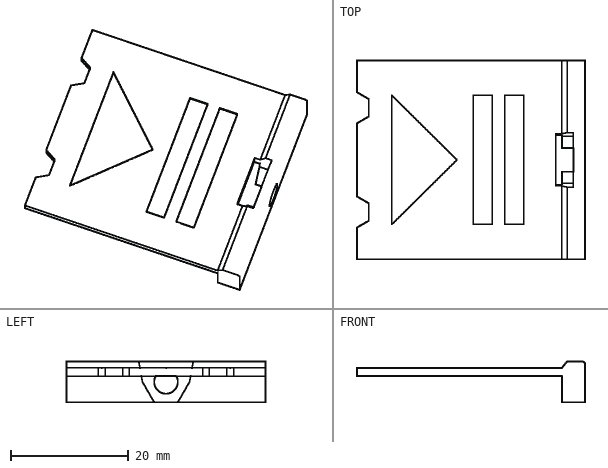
import cadquery as cq

LENGTH = 39.0
WIDTH = 34.0
HEIGHT = 7.0

PLATE_BOTTOM = 4.5
PLATE_THICKNESS = 1.4
PLATE_TOP = PLATE_BOTTOM + PLATE_THICKNESS
BAR_WIDTH = 4.0
BAR_START = LENGTH - BAR_WIDTH
RAMP_RUN = 0.9
EDGE_FILLET = 0.5

NOTCH_OFFSET = 8.9
NOTCH_DEPTH = 2.0
NOTCH_MOUTH = 5.3
NOTCH_FLOOR = 3.0

RECESS_DEPTH = 0.4
ARROW_BASE_X = 6.0
ARROW_LENGTH = 11.1
RECESS_SPAN = 22.0
STRIPE_WIDTH = 3.2
STRIPE_STARTS = (19.9, 25.3)

POCKET_START = 34.0
POCKET_LENGTH = 3.0
POCKET_BOTTOM_WIDTH = 4.0
POCKET_BREAK_WIDTH = 8.05
POCKET_TOP_WIDTH = 9.3
HOLE_DIAMETER = 4.0
HOLE_HEIGHT = 3.5
POCKET_BREAK_HEIGHT = 3.5


def plate_and_bar():
    """Side profile of the plate and bar, extruded over the full width."""
    profile = [
        (0, PLATE_BOTTOM),
        (BAR_START, PLATE_BOTTOM),
        (BAR_START, 0),
        (LENGTH, 0),
        (LENGTH, HEIGHT),
        (BAR_START + RAMP_RUN, HEIGHT),
        (BAR_START, PLATE_TOP),
        (0, PLATE_TOP),
    ]
    body = cq.Workplane("XZ").polyline(profile).close().extrude(WIDTH / 2, both=True)
    return body.faces(">X").edges(">Z").fillet(EDGE_FILLET)


def edge_notch(center_y):
    """Trapezoidal notch that narrows inward from the -X edge."""
    outline = [
        (0, center_y - NOTCH_MOUTH / 2),
        (NOTCH_DEPTH, center_y - NOTCH_FLOOR / 2),
        (NOTCH_DEPTH, center_y + NOTCH_FLOOR / 2),
        (0, center_y + NOTCH_MOUTH / 2),
    ]
    return cq.Workplane("XY").polyline(outline).close().extrude(HEIGHT)


def recess_plane():
    """Work plane at the floor of the shallow recesses."""
    return cq.Workplane("XY").workplane(offset=PLATE_TOP - RECESS_DEPTH)


def arrow_recess():
    """Triangular recess pointing toward the bar."""
    outline = [
        (ARROW_BASE_X, -RECESS_SPAN / 2),
        (ARROW_BASE_X + ARROW_LENGTH, 0),
        (ARROW_BASE_X, RECESS_SPAN / 2),
    ]
    return recess_plane().polyline(outline).close().extrude(RECESS_DEPTH)


def stripe_recess(start_x):
    """Rectangular recess running across the plate."""
    center_x = start_x + STRIPE_WIDTH / 2
    return recess_plane().center(center_x, 0).rect(STRIPE_WIDTH, RECESS_SPAN).extrude(RECESS_DEPTH)


def pocket():
    """Pocket open at top and bottom, with walls that steepen partway up."""
    section = [
        (-POCKET_BOTTOM_WIDTH / 2, 0),
        (POCKET_BOTTOM_WIDTH / 2, 0),
        (POCKET_BREAK_WIDTH / 2, POCKET_BREAK_HEIGHT),
        (POCKET_TOP_WIDTH / 2, HEIGHT),
        (-POCKET_TOP_WIDTH / 2, HEIGHT),
        (-POCKET_BREAK_WIDTH / 2, POCKET_BREAK_HEIGHT),
    ]
    start_plane = cq.Workplane("YZ").workplane(offset=POCKET_START)
    return start_plane.polyline(section).close().extrude(POCKET_LENGTH)


def end_wall_hole():
    """Round hole along X from the pocket out through the bar's +X face."""
    start_plane = cq.Workplane("YZ").workplane(offset=POCKET_START + POCKET_LENGTH)
    wall = LENGTH - POCKET_START - POCKET_LENGTH
    return start_plane.center(0, HOLE_HEIGHT).circle(HOLE_DIAMETER / 2).extrude(wall)


result = plate_and_bar()
for notch_y in (-NOTCH_OFFSET, NOTCH_OFFSET):
    result = result.cut(edge_notch(notch_y))
result = result.cut(arrow_recess())
for stripe_x in STRIPE_STARTS:
    result = result.cut(stripe_recess(stripe_x))
result = result.cut(pocket()).cut(end_wall_hole())